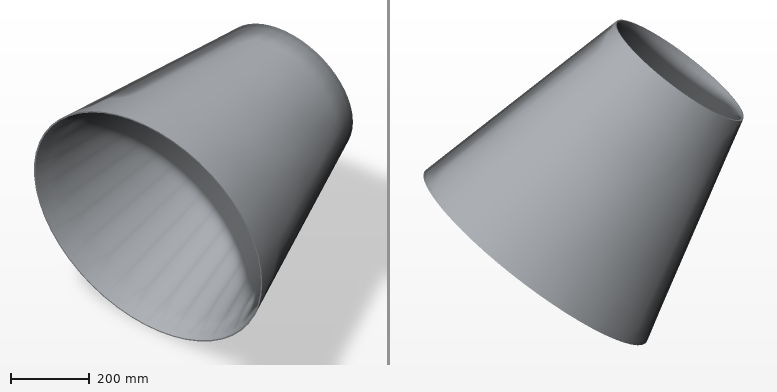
import cadquery as cq

large_diameter = 711.0
small_diameter = 407.0
length = 610.0
wall = 4.0

large_radius = large_diameter / 2
small_radius = small_diameter / 2

wall_section = (
    cq.Workplane("XY")
    .moveTo(large_radius - wall, 0)
    .lineTo(large_radius, 0)
    .lineTo(small_radius, length)
    .lineTo(small_radius - wall, length)
    .close()
)

result = wall_section.revolve(360, (0, 0, 0), (0, 1, 0))